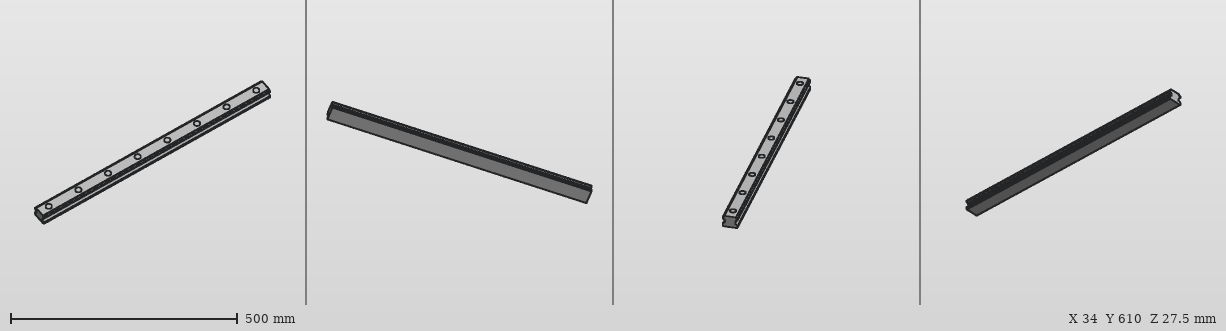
import cadquery as cq

length = 610.0
width = 34.0
height = 27.5

half_width = width / 2
edge_chamfer = 1.0
foot_top = 7.5
waist_half_width = 11.5
waist_bottom = 11.0
waist_top = 14.5
flank_half_width = 13.5
flank_top = 17.5
head_bottom = 20.0
head_top = 23.0
crown_half_width = 13.5
crown_bottom = 25.0

hole_count = 8
hole_pitch = 80.0
hole_diameter = 14.0
hole_depth = 0.3


def rail_profile():
    """Cross-section: the +X half is outlined upwards, then mirrored."""
    chamfered_half_width = half_width - edge_chamfer
    half_outline = [
        (0, 0),
        (chamfered_half_width, 0),
        (half_width, edge_chamfer),
        (half_width, foot_top - edge_chamfer),
        (chamfered_half_width, foot_top),
        (waist_half_width, waist_bottom),
        (waist_half_width, waist_top),
        (flank_half_width, flank_top),
        (half_width, head_bottom),
        (half_width, head_top),
        (crown_half_width, crown_bottom),
        (crown_half_width, height),
        (0, height),
    ]
    return cq.Workplane("XZ").polyline(half_outline).mirrorY()


def hole_recesses():
    """Row of round recesses, centred along the rail."""
    return (
        cq.Workplane("XY")
        .workplane(offset=height - hole_depth)
        .rarray(6, hole_pitch, 1, hole_count)
        .circle(hole_diameter / 2)
        .extrude(hole_depth)
    )


rail = rail_profile().extrude(length / 2, both=True)
result = rail.cut(hole_recesses())